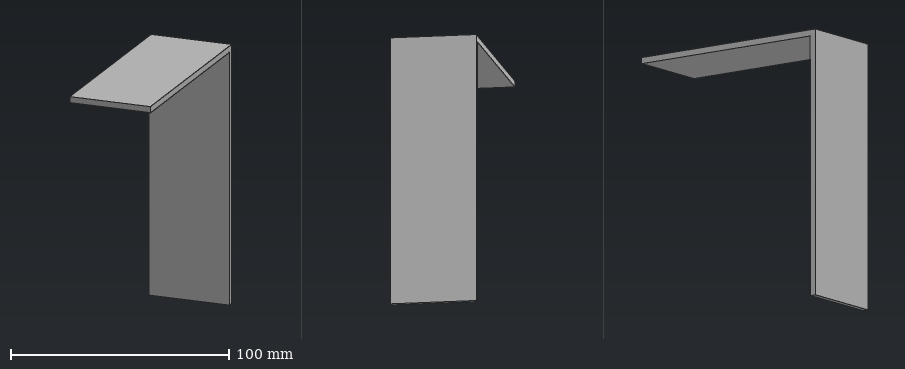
import cadquery as cq

width = 40.0
depth = 100.0
height = 125.0
thickness = 3.0

top_flange = cq.Workplane("XY").box(width, depth, thickness, centered=(True, True, False))
top_flange = top_flange.translate((0, 0, height - thickness))

back_flange = cq.Workplane("XY").box(width, thickness, height, centered=(True, True, False))
back_flange = back_flange.translate((0, (depth - thickness) / 2, 0))

result = top_flange.union(back_flange)